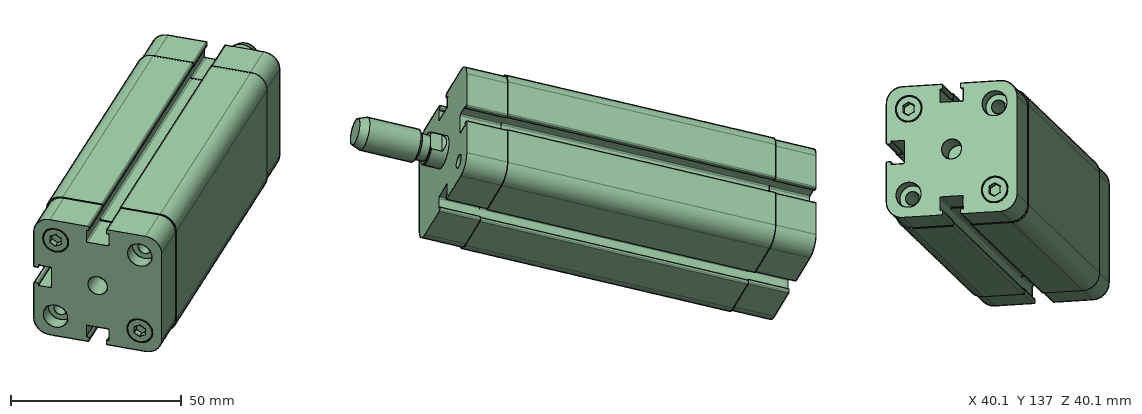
import cadquery as cq
import math


total_length = 137.0
body_side = 40.1
cap_inset = 0.3
cap_side = body_side - 2 * cap_inset
corner_radius = 5.0
case_length = 109.5
cap_length = 12.7
body_length = case_length - 2 * cap_length

slot_mouth_width = 5.3
slot_inner_width = 7.0
slot_depth = 5.5
slot_lip = 1.5
slot_rounding = 0.4
slot_angles = (0, 90, 180)

corner_offset = 13.0
through_diameter = 4.1
counterbore_diameter = 7.5
counterbore_depth = 4.5
screw_recess_diameter = 8.0
screw_head_diameter = 7.5
screw_gap_depth = 0.7
socket_across_flats = 3.4
socket_depth = 2.0
socket_turn = 30
port_diameter = 6.0
port_depth = 8.2

rod_diameter = 10.0
neck_diameter = 8.0
collar_length = 5.3
collar_bevel = 0.3
neck_length = 2.6
thread_runout = 0.8
tip_bevel_length = 2.7
tip_diameter = 8.0
flats_width = 8.0
flats_gap = 1.8


def plane_at(y):
    """XZ plane at the given Y, facing +Y, with its second axis along +Z."""
    return cq.Plane(origin=(0, y, 0), xDir=(-1, 0, 0), normal=(0, 1, 0))


def cylinder_along_y(x, z, diameter, start, length):
    """Cylinder running along +Y from the given start."""
    return cq.Workplane(plane_at(start)).center(-x, z).circle(diameter / 2).extrude(length)


def slot_cutter(side, start, length):
    """T-slot prism opening through the top face of a square section."""
    top = side / 2
    mouth = slot_mouth_width / 2
    inner = slot_inner_width / 2
    lip = top - slot_lip
    floor = top - slot_depth
    rounding = slot_rounding
    half_outline = (
        cq.Workplane(plane_at(start))
        .moveTo(0, top)
        .lineTo(mouth + rounding, top)
        .radiusArc((mouth, top - rounding), -rounding)
        .lineTo(mouth, lip + rounding)
        .radiusArc((mouth + rounding, lip), -rounding)
        .lineTo(inner, lip)
        .lineTo(inner, floor + rounding)
        .radiusArc((inner - rounding, floor), rounding)
        .lineTo(0, floor)
    )
    return half_outline.mirrorY().extrude(length)


def slotted_section(side, start, length):
    """Rounded square bar with a T-slot in three sides."""
    section = cq.Workplane(plane_at(start)).rect(side, side).extrude(length)
    section = section.edges("|Y").fillet(corner_radius)
    cutter = slot_cutter(side, start, length)
    for angle in slot_angles:
        section = section.cut(cutter.rotate((0, 0, 0), (0, -1, 0), angle))
    return section


def screw_cutter(x, z):
    """Ring gap around a flush screw head, with its hexagon socket."""
    gap = cylinder_along_y(x, z, screw_recess_diameter, 0, screw_gap_depth)
    gap = gap.cut(cylinder_along_y(x, z, screw_head_diameter, 0, screw_gap_depth))
    across_corners = socket_across_flats / math.cos(math.pi / 6)
    socket = cq.Workplane("XY").polygon(6, across_corners).extrude(socket_depth)
    socket = socket.rotate((0, 0, 0), (0, 0, 1), socket_turn).rotate((0, 0, 0), (1, 0, 0), -90)
    return gap.union(socket.translate((x, 0, z)))


def through_hole_cutter(x, z):
    """Full-length hole with a counterbore in the front cap."""
    hole = cylinder_along_y(x, z, through_diameter, 0, case_length)
    return hole.union(cylinder_along_y(x, z, counterbore_diameter, 0, counterbore_depth))


def piston_rod():
    """Turned rod with a collar, a neck and a threaded end, flattened on both X sides of the collar."""
    rod_radius = rod_diameter / 2
    neck_radius = neck_diameter / 2
    collar_end = case_length + collar_length
    neck_end = collar_end + neck_length
    profile = [
        (0, case_length),
        (rod_radius, case_length),
        (rod_radius, collar_end - collar_bevel),
        (rod_radius - collar_bevel, collar_end),
        (neck_radius, collar_end),
        (neck_radius, neck_end),
        (rod_radius, neck_end + thread_runout),
        (rod_radius, total_length - tip_bevel_length),
        (tip_diameter / 2, total_length),
        (0, total_length),
    ]
    rod = cq.Workplane("XY").polyline(profile).close().revolve(360, (0, 0, 0), (0, 1, 0))

    flat = flats_width / 2
    flat_start = case_length + flats_gap
    run_out = rod_radius - flat
    wedge = [
        (flat, collar_end),
        (flat, flat_start),
        (rod_radius, flat_start - run_out),
        (rod_radius, collar_end),
    ]
    cutter = cq.Workplane("XY").polyline(wedge).close().extrude(rod_radius, both=True)
    return rod.cut(cutter).cut(cutter.mirror("YZ"))


case = slotted_section(cap_side, 0, cap_length)
case = case.union(slotted_section(body_side, cap_length, body_length))
case = case.union(slotted_section(cap_side, case_length - cap_length, cap_length))

for sign in (1, -1):
    case = case.cut(through_hole_cutter(sign * corner_offset, sign * corner_offset))
    case = case.cut(screw_cutter(sign * corner_offset, -sign * corner_offset))
case = case.cut(cylinder_along_y(0, 0, port_diameter, 0, port_depth))

result = case.union(piston_rod())